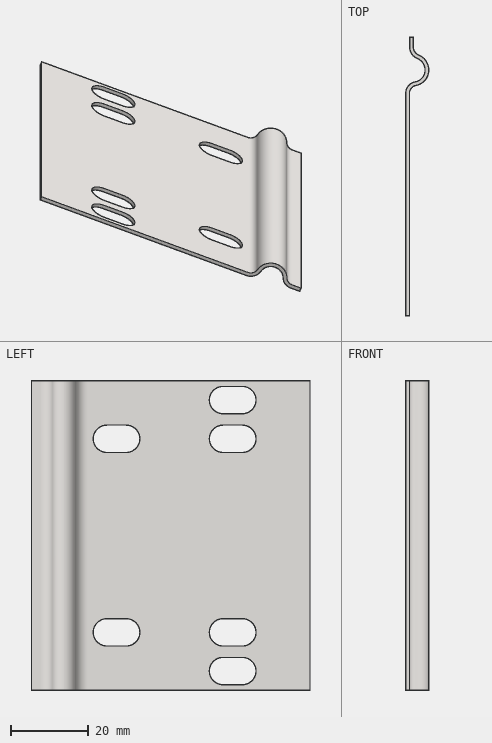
import cadquery as cq
import math

THICKNESS = 1.0
HEIGHT = 80.0
DEPTH = 72.0
WIDTH = 6.0

PLATE_LENGTH = 57.5
RIB_SPAN = 12.0
LIP_OFFSET = 1.0

SLOT_LENGTH = 12.0
SLOT_WIDTH = 7.0
NEAR_RIB_SLOT_Y = 50.0
FAR_SLOT_Y = 20.0
INNER_SLOT_Z = 25.0
OUTER_SLOT_Z = 35.0

LIP_START_Y = PLATE_LENGTH + RIB_SPAN
APEX_X = WIDTH - THICKNESS
APEX_Y = PLATE_LENGTH + RIB_SPAN / 2


def on_circle(center, radius, angle):
    """Return the point of a circle at an angle measured from +X."""
    return (center[0] + radius * math.cos(angle), center[1] + radius * math.sin(angle))


def half_rib_arcs(flat_x, flat_y):
    """Return the bend and the rib arc that lead from the end of a flat to the rib apex.

    On the -X face of the sheet both arcs have the same radius and are tangent to each
    other, to the flat and to the apex. An arc is a tuple of its centre, its radius on
    the -X face, its radius on the +X face, its start angle and its end angle.
    """
    rise = APEX_X - flat_x
    run = APEX_Y - flat_y
    radius = (rise**2 + run**2) / (4 * rise)
    turn = math.copysign(math.acos(1 - rise / (2 * radius)), run)
    bend_center = (flat_x + radius, flat_y)
    rib_center = (APEX_X - radius, APEX_Y)
    bend = (bend_center, radius, radius - THICKNESS, math.pi, math.pi - turn)
    rib = (rib_center, radius, radius + THICKNESS, -turn, 0.0)
    return bend, rib


def build_sheet():
    """Extrude the bent sheet section, centred in height."""
    plate_bend, plate_rib = half_rib_arcs(0.0, PLATE_LENGTH)
    lip_bend, lip_rib = half_rib_arcs(LIP_OFFSET, LIP_START_Y)

    section = cq.Workplane("XY").moveTo(0.0, 0.0).lineTo(0.0, PLATE_LENGTH)
    for center, radius, _, start, end in (plate_bend, plate_rib):
        middle = on_circle(center, radius, (start + end) / 2)
        section = section.threePointArc(middle, on_circle(center, radius, end))
    for center, radius, _, start, end in (lip_rib, lip_bend):
        middle = on_circle(center, radius, (start + end) / 2)
        section = section.threePointArc(middle, on_circle(center, radius, start))

    section = section.lineTo(LIP_OFFSET, DEPTH)
    section = section.lineTo(LIP_OFFSET + THICKNESS, DEPTH)
    section = section.lineTo(LIP_OFFSET + THICKNESS, LIP_START_Y)

    for center, _, radius, start, end in (lip_bend, lip_rib):
        middle = on_circle(center, radius, (start + end) / 2)
        section = section.threePointArc(middle, on_circle(center, radius, end))
    for center, _, radius, start, end in (plate_rib, plate_bend):
        middle = on_circle(center, radius, (start + end) / 2)
        section = section.threePointArc(middle, on_circle(center, radius, start))
    section = section.lineTo(THICKNESS, 0.0).close()
    return section.extrude(HEIGHT / 2, both=True)


def build_slots():
    """Return the cutters for the slots, mirrored about mid-height."""
    centers = []
    for side in (-1, 1):
        centers.append((NEAR_RIB_SLOT_Y, side * INNER_SLOT_Z))
        centers.append((FAR_SLOT_Y, side * INNER_SLOT_Z))
        centers.append((FAR_SLOT_Y, side * OUTER_SLOT_Z))
    slots = cq.Workplane("YZ").pushPoints(centers).slot2D(SLOT_LENGTH, SLOT_WIDTH)
    return slots.extrude(THICKNESS)


result = build_sheet().cut(build_slots())